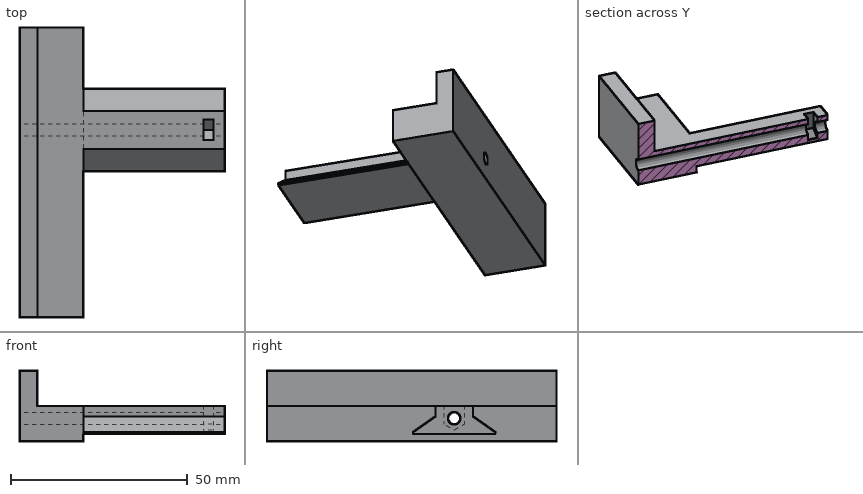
import cadquery as cq
import math

bar_length = 82.0
bar_width = 18.0
bar_height = 10.0
lip_thickness = 5.0
lip_height = 20.0

rail_end_x = 58.0
rail_center_y = 12.0
rail_bottom_z = 2.0
rail_edge_height = 0.55
rail_edge_inset = 0.17
rail_base_width = 23.4
neck_width = 10.7
neck_bottom_z = 7.0

screw_diameter = 3.4
screw_z = 6.5
hex_sides = 6
nut_across_flats = 5.8
nut_pocket_thickness = 2.8
nut_pocket_center_x = 53.4


def make_bar():
    """L-shaped section in XZ, extruded along Y and centred on Y = 0."""
    section = [
        (0, 0),
        (bar_width, 0),
        (bar_width, bar_height),
        (lip_thickness, bar_height),
        (lip_thickness, lip_height),
        (0, lip_height),
    ]
    return cq.Workplane("XZ").polyline(section).close().extrude(bar_length / 2, both=True)


def make_rail():
    """Dovetail section in YZ with undercut lower edges, extruded along X from the bar."""
    half_base = rail_base_width / 2
    half_bottom = half_base - rail_edge_inset
    half_neck = neck_width / 2
    edge_z = rail_bottom_z + rail_edge_height
    section = [
        (-half_bottom, rail_bottom_z),
        (half_bottom, rail_bottom_z),
        (half_base, edge_z),
        (half_neck, neck_bottom_z),
        (half_neck, bar_height),
        (-half_neck, bar_height),
        (-half_neck, neck_bottom_z),
        (-half_base, edge_z),
    ]
    plane = cq.Workplane("YZ", origin=(bar_width, rail_center_y, 0))
    return plane.polyline(section).close().extrude(rail_end_x - bar_width)


def make_screw_hole():
    """Round hole along X through the bar and the whole rail."""
    plane = cq.Workplane("YZ", origin=(0, rail_center_y, screw_z))
    return plane.circle(screw_diameter / 2).extrude(rail_end_x)


def make_nut_pocket():
    """Slot open at the top of the rail, ending in the lower half of a hexagon around the screw."""
    half_flats = nut_across_flats / 2
    corner_radius = half_flats / math.cos(math.pi / hex_sides)
    side_corner_z = screw_z - corner_radius / 2
    section = [
        (0, screw_z - corner_radius),
        (half_flats, side_corner_z),
        (half_flats, bar_height),
        (-half_flats, bar_height),
        (-half_flats, side_corner_z),
    ]
    start_x = nut_pocket_center_x - nut_pocket_thickness / 2
    plane = cq.Workplane("YZ", origin=(start_x, rail_center_y, 0))
    return plane.polyline(section).close().extrude(nut_pocket_thickness)


body = make_bar().union(make_rail())
result = body.cut(make_screw_hole()).cut(make_nut_pocket())